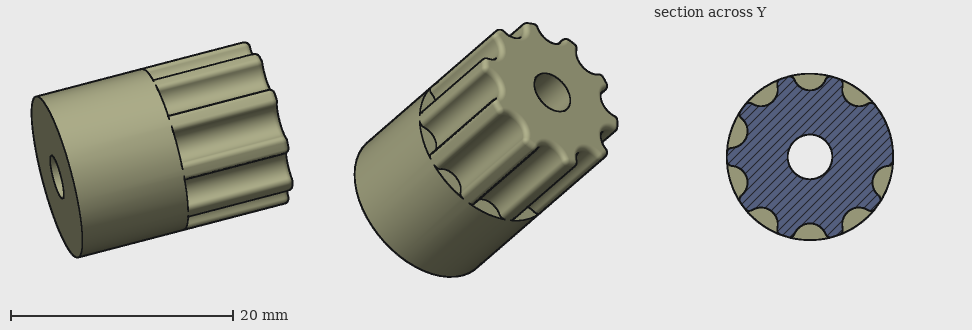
import cadquery as cq

length = 20.0
diameter = 15.0
bore_diameter = 4.0
grip_length = 10.0
flute_count = 10
flute_radius = 1.5
edge_radius = 0.5

outer_radius = diameter / 2


def cylinder_along_y(radius, start, end):
    """Solid cylinder on the knob axis from y = start to y = end."""
    return cq.Workplane("XZ", origin=(0, start, 0)).circle(radius).extrude(start - end)


def make_fluted_grip():
    """Grip with evenly spaced flutes, the first one facing +Z, and rounded edges."""
    grip_start = length - grip_length
    grip = cylinder_along_y(outer_radius, grip_start, length)
    flute = cylinder_along_y(flute_radius, grip_start, length).translate((0, 0, outer_radius))
    for index in range(flute_count):
        angle = index * 360 / flute_count
        grip = grip.cut(flute.rotate((0, 0, 0), (0, 1, 0), angle))

    return grip.clean().edges("|Y or >Y").fillet(edge_radius)


body = cylinder_along_y(outer_radius, 0, length - grip_length)
bore = cylinder_along_y(bore_diameter / 2, 0, length)

result = body.union(make_fluted_grip()).cut(bore)